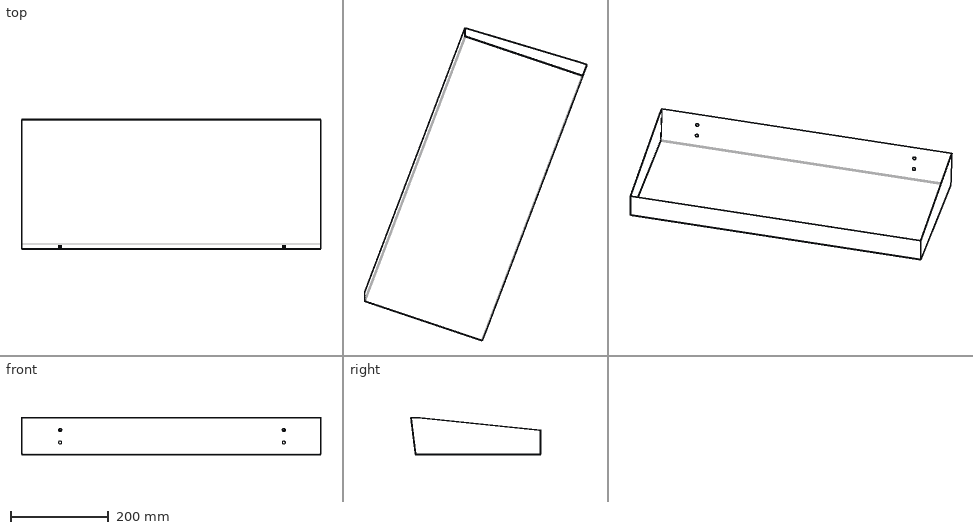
import cadquery as cq
import math

overall_length = 612.775
overall_depth = 266.22
front_height = 76.2
back_height = 50.8

sheet = 1.5875
bend_inside_radius = 0.85
bend_outside_radius = bend_inside_radius + sheet

front_lean = 1 / 8
lean_angle = math.atan(front_lean)
level_rim_depth = 18.0

hole_diameter = 6.35
hole_spacing = 457.2
hole_pair_offset = 1.5
hole_heights = (25.4, 50.8)

pan_length = overall_length - 2 * sheet

back_outside_y = overall_depth / 2
back_inside_y = back_outside_y - sheet
rim_drop = sheet * math.sin(lean_angle)
rim_outside_z = front_height - rim_drop
rim_outside_y = -overall_depth / 2
rim_inside_y = rim_outside_y + sheet * math.cos(lean_angle)
level_rim_end_y = rim_outside_y + level_rim_depth
bottom_outside_y = rim_outside_y + rim_outside_z * front_lean
bottom_inside_y = rim_inside_y + (front_height - sheet) * front_lean


def make_pan():
    """Floor with an upright back wall and a leaning front wall, bent from one sheet."""
    pan = (
        cq.Workplane("YZ", origin=(-pan_length / 2, 0, 0))
        .moveTo(back_outside_y, 0)
        .lineTo(back_outside_y, back_height)
        .lineTo(back_inside_y, back_height)
        .lineTo(back_inside_y, sheet)
        .lineTo(bottom_inside_y, sheet)
        .lineTo(rim_inside_y, front_height)
        .lineTo(rim_outside_y, rim_outside_z)
        .lineTo(bottom_outside_y, 0)
        .close()
        .extrude(pan_length)
    )
    pan = pan.faces("<Z").edges("|X").fillet(bend_outside_radius)
    floor_top = pan.faces(cq.selectors.NearestToPointSelector((0, 0, sheet)))
    pan = floor_top.edges("|X").fillet(bend_inside_radius)
    return pan.cut(make_hole_cutters())


def make_hole_cutters():
    """Pins square to the front wall, in a pair near each end."""
    wall_normal = cq.Vector(0, math.cos(lean_angle), math.sin(lean_angle))
    pin_length = 4 * sheet
    pins = cq.Workplane()
    for side in (-1, 1):
        x = hole_pair_offset + side * hole_spacing / 2
        for z in hole_heights:
            on_wall = cq.Vector(x, bottom_outside_y - z * front_lean, z)
            start = on_wall - wall_normal * (pin_length / 2)
            pins.add(cq.Solid.makeCylinder(hole_diameter / 2, pin_length, start, wall_normal))
    return pins.combine()


def make_end_plate(start_x):
    """Flat plate that closes one end, following the inside faces of the pan."""
    return (
        cq.Workplane("YZ", origin=(start_x, 0, 0))
        .moveTo(back_inside_y, sheet)
        .lineTo(back_inside_y, back_height)
        .lineTo(level_rim_end_y, front_height)
        .lineTo(rim_inside_y, front_height)
        .lineTo(bottom_inside_y, sheet)
        .close()
        .extrude(sheet)
    )


pan = make_pan()
end_plates = [make_end_plate(start_x) for start_x in (-overall_length / 2, pan_length / 2)]

result = cq.Compound.makeCompound([pan.val(), *[plate.val() for plate in end_plates]])